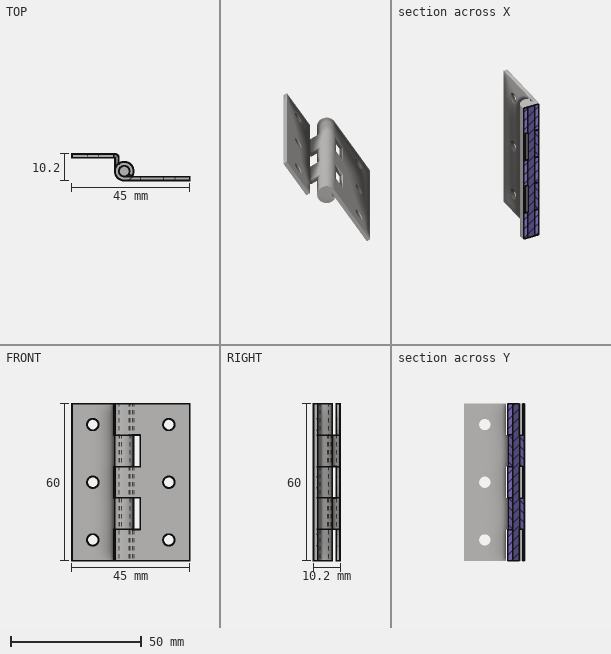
import cadquery as cq
import math

height = 60.0
width = 45.0
depth = 10.2
thickness = 1.55
barrel_radius = 3.6
pin_radius = barrel_radius - thickness
knuckle_count = 5
knuckle_height = height / knuckle_count

left_end = -20.0
right_end = left_end + width
offset_plate_edge = -3.95
window_edge = 6.05
offset_back = depth - barrel_radius
offset_front = offset_back - thickness

hole_diameter = 4.3
hole_pitch = 22.0
hole_edge_distance = 8.0

lip_angle = math.radians(33)


def polar(radius, angle):
    return (radius * math.cos(angle), radius * math.sin(angle))


def knuckle_bottom(index):
    return -height / 2 + index * knuckle_height


def screw_holes(x):
    """Vertical row of three cutters running right through in Y."""
    row = cq.Workplane("XZ").center(x, 0).rarray(0.6, hole_pitch, 1, 3)
    return row.circle(hole_diameter / 2).extrude(2 * depth, both=True)


def rolled_strip(bottom):
    """Strip along the front, curled clockwise round the pin."""
    return (
        cq.Workplane("XY", origin=(0, 0, bottom))
        .moveTo(window_edge, -barrel_radius)
        .lineTo(0, -barrel_radius)
        .threePointArc(polar(barrel_radius, math.radians(135)), polar(barrel_radius, -lip_angle))
        .lineTo(*polar(pin_radius, -lip_angle))
        .threePointArc(polar(pin_radius, math.radians(135)), (0, -pin_radius))
        .lineTo(window_edge, -pin_radius)
        .close()
        .extrude(knuckle_height)
    )


def cranked_strip(bottom):
    """Strip bent forward from the offset plate and curled anticlockwise round the pin."""
    lip = math.pi / 2 + lip_angle
    bend_middle = polar(thickness, math.radians(45))
    return (
        cq.Workplane("XY", origin=(0, 0, bottom))
        .moveTo(offset_plate_edge, offset_back)
        .lineTo(-barrel_radius, offset_back)
        .threePointArc(
            (-barrel_radius + bend_middle[0], offset_front + bend_middle[1]),
            (-pin_radius, offset_front),
        )
        .lineTo(-pin_radius, 0)
        .threePointArc(polar(pin_radius, math.radians(-45)), polar(pin_radius, lip))
        .lineTo(*polar(barrel_radius, lip))
        .threePointArc(polar(barrel_radius, math.radians(-45)), (-barrel_radius, 0))
        .lineTo(-barrel_radius, offset_front)
        .lineTo(offset_plate_edge, offset_front)
        .close()
        .extrude(knuckle_height)
    )


def make_flat_leaf():
    """Leaf level with the front of the barrel, with the two end knuckles and the middle one."""
    leaf = cq.Workplane("XY").box(
        right_end - window_edge, thickness, height, centered=(False, False, True)
    ).translate((window_edge, -barrel_radius, 0))
    for index in range(0, knuckle_count, 2):
        leaf = leaf.union(rolled_strip(knuckle_bottom(index)))
    return leaf.cut(screw_holes(right_end - hole_edge_distance))


def make_offset_leaf():
    """Leaf set back behind the barrel, with the two knuckles between the others."""
    leaf = cq.Workplane("XY").box(
        offset_plate_edge - left_end, thickness, height, centered=(False, False, True)
    ).translate((left_end, offset_front, 0))
    for index in range(1, knuckle_count, 2):
        leaf = leaf.union(cranked_strip(knuckle_bottom(index)))
    return leaf.cut(screw_holes(left_end + hole_edge_distance))


def make_pin():
    return cq.Workplane("XY").circle(pin_radius).extrude(height / 2, both=True)


flat_leaf = make_flat_leaf()
offset_leaf = make_offset_leaf()
pin = make_pin()

result = cq.Compound.makeCompound([flat_leaf.val(), offset_leaf.val(), pin.val()])